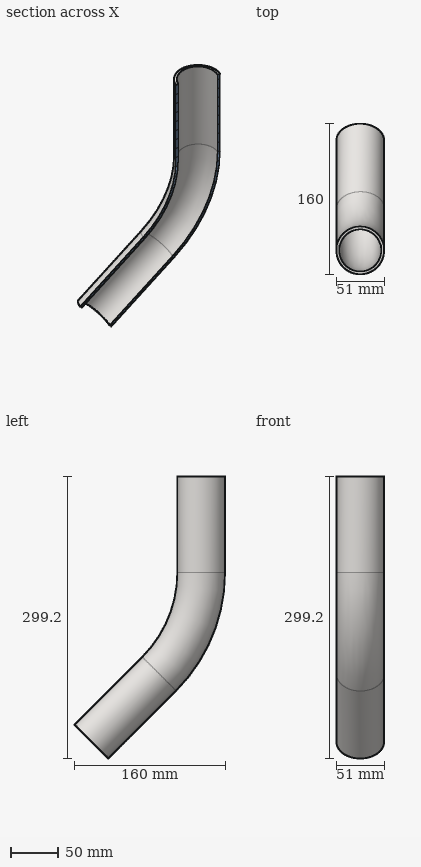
import cadquery as cq
import math

total_height = 299.2
outer_diameter = 51.0
bore_diameter = 44.5
leg_length = 101.7
bend_angle = 45.0

bend_sin = math.sin(math.radians(bend_angle))
bend_cos = math.cos(math.radians(bend_angle))

rim_drop = outer_diameter / 2 * bend_sin
bend_height = total_height - leg_length * (1 + bend_cos) - rim_drop
bend_radius = bend_height / bend_sin


def bend_point(angle):
    """Centreline point on the bend, as (Y, Z), at an angle in degrees past its upper end."""
    turn = math.radians(angle)
    return bend_radius * (1 - math.cos(turn)), -bend_radius * math.sin(turn)


bend_end = bend_point(bend_angle)
lower_end = (bend_end[0] + leg_length * bend_sin, bend_end[1] - leg_length * bend_cos)
centreline = (
    cq.Workplane("YZ")
    .moveTo(0, leg_length)
    .lineTo(0, 0)
    .threePointArc(bend_point(bend_angle / 2), bend_end)
    .lineTo(*lower_end)
)

result = (
    cq.Workplane("XY", origin=(0, 0, leg_length))
    .circle(outer_diameter / 2)
    .circle(bore_diameter / 2)
    .sweep(centreline)
)